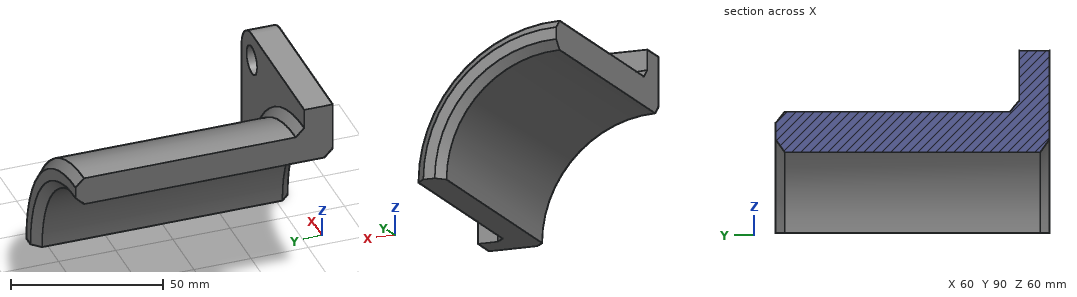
import cadquery as cq

length = 90.0
flange_side = 60.0
flange_thickness = 10.0
wall_thickness = 10.0
outer_radius = flange_side - flange_thickness
bore_radius = outer_radius - wall_thickness
chamfer = 3.0
corner_radius = flange_side - outer_radius
hole_diameter = 10.0


def revolve_about_y(profile, angle):
    """Turn a closed (radius, y) profile about Y, starting at +X and going towards +Z."""
    return cq.Workplane("XY").polyline(profile).close().revolve(angle, (0, 0.9, 0), (0, 0, 0))


def make_flange():
    """Square plate with its outer corner rounded and a hole through that corner."""
    plate = (
        cq.Workplane("XY")
        .box(flange_side, flange_thickness, flange_side, centered=False)
        .edges("|Y and >X and >Z")
        .fillet(corner_radius)
    )
    hole = (
        cq.Workplane("XZ")
        .center(outer_radius, outer_radius)
        .circle(hole_diameter / 2)
        .extrude(-flange_thickness)
    )
    return plate.cut(hole)


def make_sleeve():
    """Solid quarter cylinder, flared into the flange and chamfered at the far end."""
    profile = [
        (0, flange_thickness),
        (outer_radius + chamfer, flange_thickness),
        (outer_radius, flange_thickness + chamfer),
        (outer_radius, length - chamfer),
        (outer_radius - chamfer, length),
        (0, length),
    ]
    return revolve_about_y(profile, 90)


def make_bore():
    """Cylindrical bore, chamfered at both ends."""
    profile = [
        (0, 0),
        (bore_radius + chamfer, 0),
        (bore_radius, chamfer),
        (bore_radius, length - chamfer),
        (bore_radius + chamfer, length),
        (0, length),
    ]
    return revolve_about_y(profile, 360)


result = make_flange().union(make_sleeve()).cut(make_bore())